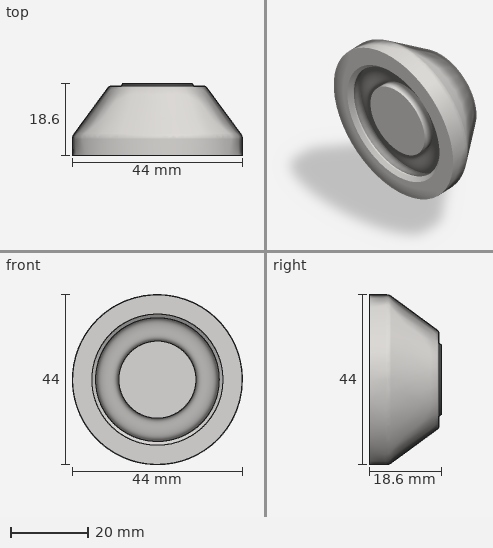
import cadquery as cq
import math

rim_radius = 22.0
cone_start = 5.0
cone_end = 18.0
cone_angle = 36.3
rim_fillet = 2.0
shoulder_fillet = 1.0
shoulder_radius = rim_radius - (cone_end - cone_start) * math.tan(math.radians(cone_angle))

total_depth = 18.6
boss_base_radius = 9.4
boss_top_radius = 9.0

mouth_radius = 17.0
throat_radius = 16.0
throat_depth = 1.0
cavity_radius = mouth_radius
land_length = 0.4
floor_chamfer = 0.2
recess_depth = 4.5
disc_radius = 10.0
disc_setback = 1.5


def revolve_profile(points):
    """Revolve a closed outline of (radius, Y) points about the Y axis."""
    return cq.Workplane("XY").polyline(points).close().revolve(360, (0, 0, 0), (0, 1, 0))


def make_body():
    body = revolve_profile([
        (0, 0),
        (rim_radius, 0),
        (rim_radius, cone_start),
        (shoulder_radius, cone_end),
        (0, cone_end),
    ])
    body = body.edges("%CIRCLE").edges(">>Y[1]").fillet(rim_fillet)
    return body.faces(">Y").edges().fillet(shoulder_fillet)


def make_boss():
    return revolve_profile([
        (0, recess_depth),
        (boss_base_radius, recess_depth),
        (boss_base_radius, cone_end),
        (boss_top_radius, total_depth),
        (0, total_depth),
    ])


def make_recess():
    return revolve_profile([
        (0, 0),
        (mouth_radius, 0),
        (throat_radius, throat_depth),
        (throat_radius, throat_depth + land_length),
        (cavity_radius, throat_depth + land_length),
        (cavity_radius, recess_depth - floor_chamfer),
        (cavity_radius - floor_chamfer, recess_depth),
        (disc_radius, recess_depth),
        (disc_radius, disc_setback),
        (0, disc_setback),
    ])


result = make_body().union(make_boss()).cut(make_recess())